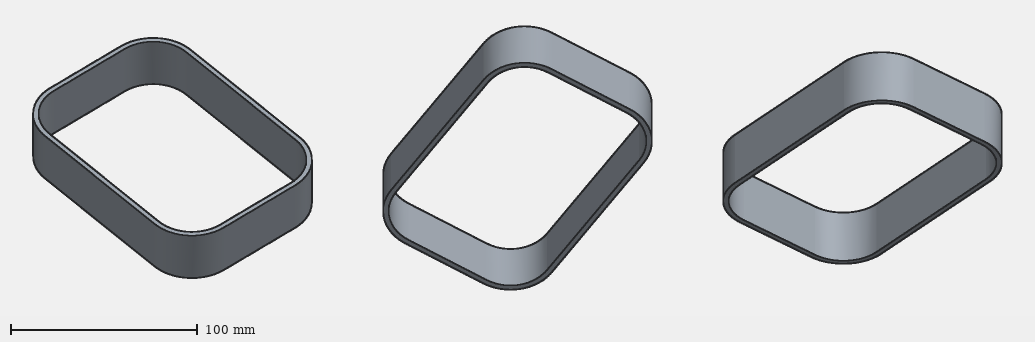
import cadquery as cq

length = 143.0
width = 103.0
height = 31.5
wall = 3.0
outer_radius = 26.5
inner_radius = outer_radius - wall


def rounded_block(size_x, size_y, corner_radius):
    """Block of the ring's height with rounded vertical edges."""
    return (
        cq.Workplane("XY")
        .rect(size_x, size_y)
        .extrude(height)
        .edges("|Z")
        .fillet(corner_radius)
    )


outer = rounded_block(length, width, outer_radius)
opening = rounded_block(length - 2 * wall, width - 2 * wall, inner_radius)

result = outer.cut(opening)